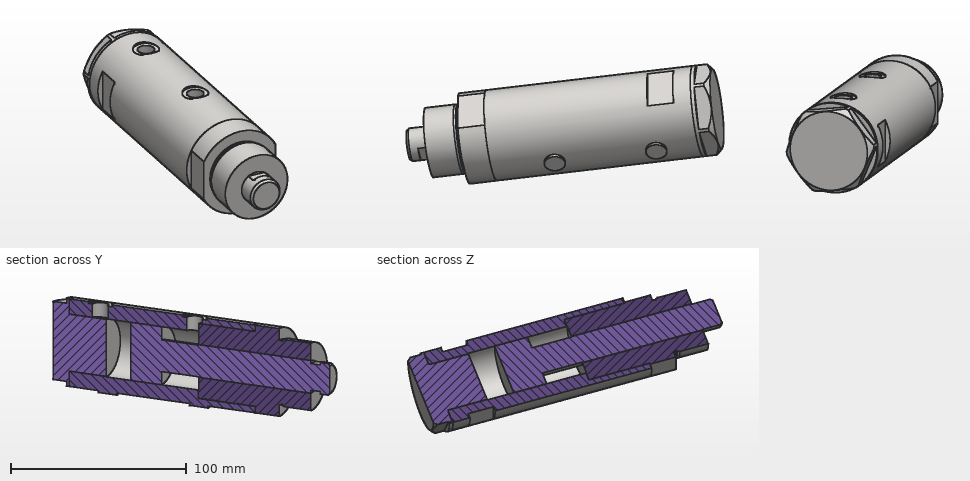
import cadquery as cq
import math

total_length = 178.02
body_radius = 26.0
across_flats = 46.0

hex_length = 8.6
cap_flange_end = 10.8
cap_face_radius = 22.8
cap_chamfer_length = 3.0
hex_corner_angle = 7.6
plug_radius = 17.0
plug_end = 34.4

tube_end = 130.0
bore_radius = plug_radius
wrench_flat_start = 21.0
wrench_flat_length = 15.0

port_positions = [30.4, 90.9]
port_radius = 4.9
spotface_radius = 7.5
spotface_depth = 1.1
stud_positions = [35.0, 93.6]
stud_radius = 6.0
stud_height = 1.1

head_flange_end = 145.5
head_end = 165.9
spigot_start = 93.6
spigot_radius = 22.0
collar_radius = 20.0
shoulder_radius = 19.2
shoulder_end = 146.6
groove_radius = 18.9
groove_end = 147.5
chamfer_start_radius = 19.4
collar_start = 148.7

rod_radius = 9.5
piston_length = 20.0
piston_start = 50.0
rod_flat_end = 171.7
rod_flat_distance = 8.0
rod_chamfer_length = 1.5
rod_chamfer_depth = 1.2


def revolve_profile(points):
    """Solid of revolution about X from (x, radius) points."""
    return cq.Workplane("XZ").polyline(points).close().revolve(360, (0, 0, 0), (1, 0, 0))


def cylinder_x(radius, start, end):
    """Cylinder on the X axis between two stations."""
    return revolve_profile([(start, 0), (start, radius), (end, radius), (end, 0)])


def cylinder_z(radius, x, bottom, top):
    """Vertical cylinder at station x, centred on Y = 0."""
    return cq.Workplane("XY", origin=(x, 0, bottom)).circle(radius).extrude(top - bottom)


def cut_parallel_flats(body, normal, distance, start, end):
    """Cut two opposite flats at a distance from the axis; normal is +Y or +Z."""
    depth = body_radius
    for side in (-1, 1):
        centre = cq.Vector(*normal) * (side * (distance + depth / 2))
        size_y = depth if normal[1] else 2 * body_radius
        size_z = depth if normal[2] else 2 * body_radius
        cutter = cq.Workplane("XY").box(end - start, size_y, size_z)
        body = body.cut(cutter.translate(centre + cq.Vector((start + end) / 2, 0, 0)))
    return body


def make_cap():
    """Hexagon end cap with chamfered corners, a round flange and a plug in the bore."""
    hexagon = (
        cq.Workplane("YZ")
        .polygon(6, across_flats / math.cos(math.pi / 6))
        .extrude(hex_length)
    )
    corner_trim = revolve_profile([
        (0, 0),
        (0, cap_face_radius),
        (cap_chamfer_length, body_radius),
        (hex_length, body_radius),
        (hex_length, 0),
    ])
    flange = cylinder_x(body_radius, hex_length, cap_flange_end)
    plug = cylinder_x(plug_radius, cap_flange_end, plug_end)
    cap = hexagon.intersect(corner_trim).union(flange).union(plug)
    return cap.rotate((0, 0, 0), (1, 0, 0), -hex_corner_angle)


def make_tube():
    """Cylinder tube with wrench flats, two spotfaced ports and two studs."""
    tube = cylinder_x(body_radius, cap_flange_end, tube_end)
    tube = cut_parallel_flats(
        tube, (0, 1, 0), across_flats / 2, wrench_flat_start, wrench_flat_start + wrench_flat_length
    )
    for x in stud_positions:
        tube = tube.union(cylinder_z(stud_radius, x, -body_radius - stud_height, -bore_radius))
    tube = tube.cut(cylinder_x(bore_radius, cap_flange_end, tube_end))
    tube = tube.cut(cylinder_x(spigot_radius, spigot_start, tube_end))
    for x in port_positions:
        tube = tube.cut(cylinder_z(port_radius, x, 0, body_radius))
        tube = tube.cut(cylinder_z(spotface_radius, x, body_radius - spotface_depth, body_radius))
    return tube


def make_head():
    """Rod head: spigot in the bore, flange with flats, undercut and collar, bored for the rod."""
    head = revolve_profile([
        (spigot_start, rod_radius),
        (spigot_start, spigot_radius),
        (tube_end, spigot_radius),
        (tube_end, body_radius),
        (head_flange_end, body_radius),
        (head_flange_end, shoulder_radius),
        (shoulder_end, shoulder_radius),
        (shoulder_end, groove_radius),
        (groove_end, groove_radius),
        (groove_end, chamfer_start_radius),
        (collar_start, collar_radius),
        (head_end, collar_radius),
        (head_end, rod_radius),
    ])
    return cut_parallel_flats(head, (0, 1, 0), across_flats / 2, tube_end, head_flange_end)


def make_rod():
    """Piston and rod in one piece, with a chamfered tip and two flats outside the head."""
    rod = revolve_profile([
        (piston_start, 0),
        (piston_start, bore_radius),
        (piston_start + piston_length, bore_radius),
        (piston_start + piston_length, rod_radius),
        (total_length - rod_chamfer_length, rod_radius),
        (total_length, rod_radius - rod_chamfer_depth),
        (total_length, 0),
    ])
    return cut_parallel_flats(rod, (0, 0, 1), rod_flat_distance, head_end, rod_flat_end)


cap = make_cap()
tube = make_tube()
head = make_head()
rod = make_rod()

result = cq.Compound.makeCompound([cap.val(), tube.val(), head.val(), rod.val()])